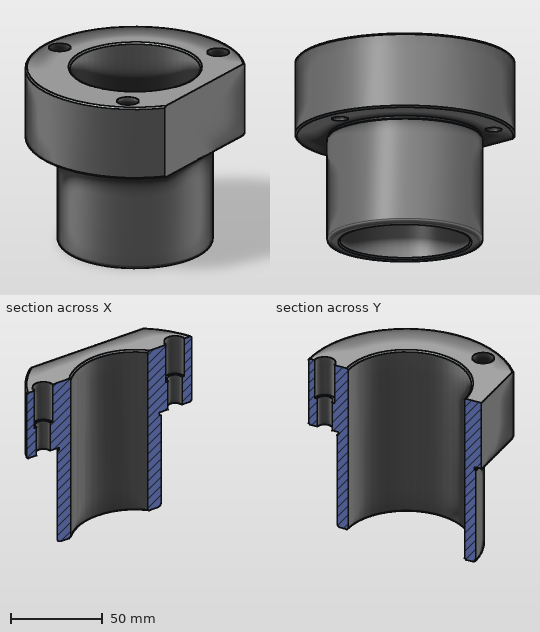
import cadquery as cq

flange_diameter = 119.9
flange_height = 42.0
flange_chamfer = 1.0
flat_distance = 46.0
total_height = 102.0

spigot_diameter = 85.0
spigot_end_radius = 2.0
relief_depth = 0.8
relief_slope_height = 0.7
relief_height = 1.3

bore_diameter = 71.0
bore_chamfer = 1.0

hole_count = 3
hole_circle_radius = 50.0
first_hole_angle = 60.0
hole_diameter = 9.0
counterbore_diameter = 12.0
counterbore_depth = 24.0

flange_bottom = total_height - flange_height


def make_flange():
    """Disc with chamfered rims, cut by one flat whose edges stay sharp."""
    disc = (
        cq.Workplane("XY", origin=(0, 0, flange_bottom))
        .circle(flange_diameter / 2)
        .extrude(flange_height)
        .edges("%CIRCLE")
        .chamfer(flange_chamfer)
    )
    beyond_flat = cq.Workplane("XY").box(
        flange_diameter, 2 * flange_diameter, 2 * total_height, centered=(False, True, True)
    )
    return disc.cut(beyond_flat.translate((flat_distance, 0, 0)))


def make_spigot():
    """Cylinder with a rounded lower end, sloping into a relief neck below the flange."""
    body_height = flange_bottom - relief_height
    body = (
        cq.Workplane("XY")
        .circle(spigot_diameter / 2)
        .extrude(body_height)
        .faces("<Z")
        .edges()
        .fillet(spigot_end_radius)
        .faces(">Z")
        .edges()
        .chamfer(relief_slope_height, relief_depth)
    )
    neck = (
        cq.Workplane("XY", origin=(0, 0, body_height))
        .circle(spigot_diameter / 2 - relief_depth)
        .extrude(relief_height)
    )
    return body.union(neck)


def cut_bore(part):
    """Through bore, chamfered at both ends."""
    bore_radius = bore_diameter / 2
    mouth_radius = bore_radius + bore_chamfer
    bore = (
        cq.Workplane("XZ")
        .moveTo(0, 0)
        .lineTo(mouth_radius, 0)
        .lineTo(bore_radius, bore_chamfer)
        .lineTo(bore_radius, total_height - bore_chamfer)
        .lineTo(mouth_radius, total_height)
        .lineTo(0, total_height)
        .close()
        .revolve(360, (0, 0, 0), (0, 1, 0))
    )
    return part.cut(bore)


def cut_screw_holes(part):
    """Counterbored through holes, evenly spaced and symmetric about the flat."""
    return (
        part.faces(">Z")
        .workplane(origin=(0, 0, total_height))
        .polarArray(hole_circle_radius, first_hole_angle, 360, hole_count)
        .cboreHole(hole_diameter, counterbore_diameter, counterbore_depth)
    )


result = cut_screw_holes(cut_bore(make_flange().union(make_spigot())))